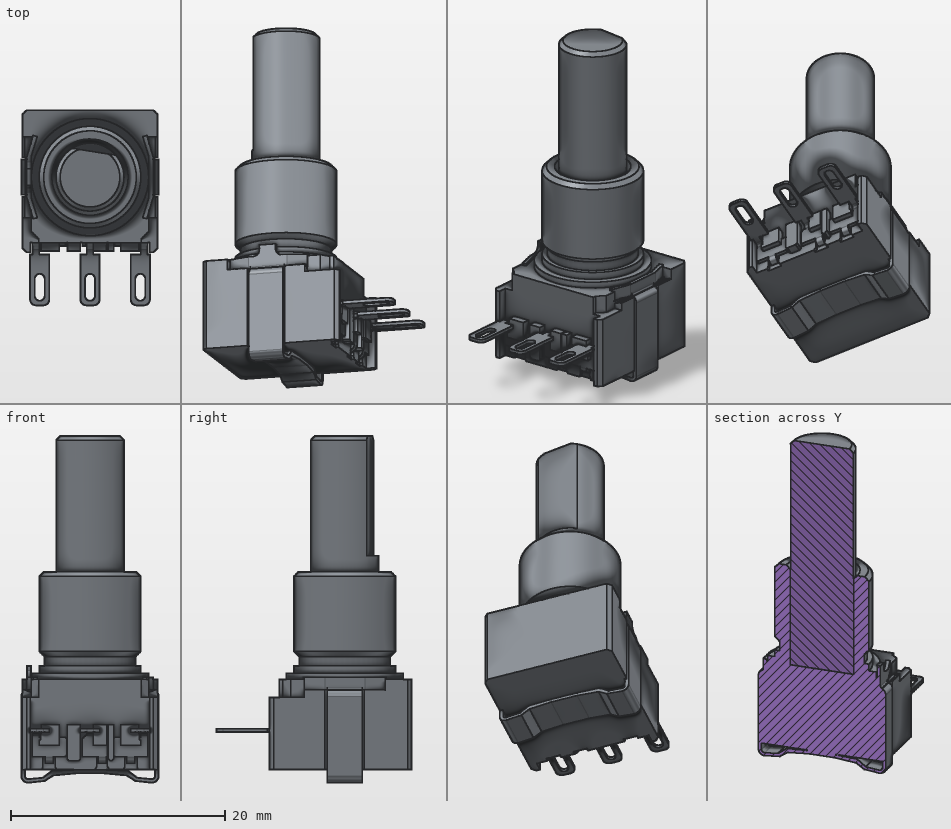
import cadquery as cq
import math


diag = math.sqrt(0.5)

shaft_radius = 3.17
shaft_top = 31.15
shaft_tip_chamfer = 0.4
shaft_flat_distance = 2.4
shaft_flat_base = 19.98
shaft_flat_tilt = -9.0

block_half_width = 6.3
block_back = 6.25
block_front = -6.12
block_top = 8.42
block_corner_chamfer = 0.4

wall_front = -7.03
wall_inner = 5.57
wall_top = 6.75

nose_half_width = 5.5
nose_corner_chamfer = 0.7
nose_corner_land = 0.35

recess_rim = 6.1
recess_fall = 0.23

flange_radius = 5.47
flange_top = 9.0
bushing_diameter = 9.5
bushing_radius = bushing_diameter / 2
collar_top = 9.68
bushing_top = 18.45
bushing_chamfer = 0.42
thread_base = 10.55
thread_chamfer = 0.5
neck_radius = bushing_radius - thread_chamfer
bore_chamfer = 0.4

strap_thickness = 0.35
strap_half_depth = 1.65
strap_half_width = 6.4
strap_bend_radius = 0.65
strap_drop = 1.23
strap_shoulder_base = 6.83
strap_shoulder_rise = 0.8
strap_shoulder_share = 0.7
strap_slot_half_depth = 1.85
strap_center_half_width = 1.3
slope_outer_top = (3.43, -0.55)
slope_outer_foot = (4.25, -1.07)
slope_inner_top = (3.53, -0.1)
slope_inner_foot = (4.4, -0.75)

end_plate_outer = 5.9
end_plate_thickness = 0.4
end_plate_half_depth = 1.88
end_plate_base = 7.45
end_plate_top = 8.6
wing_half_depth = 3.8
wing_lean = 0.58
wing_tip_skew = 0.1
tab_half_width = 0.78
tab_fillet = 0.65

terminal_thickness = 0.32
tag_top = 3.82
tag_width = 1.8
tag_tip = -11.98
tag_shoulder = -7.22
tag_offset = 4.7
neck_offset = 5.05
neck_width = 0.65
neck_bend_inner = 0.3
slot_width = 0.9
slot_back = -9.05
slot_front = -11.53
plate_bottom = 1.2
plate_top = 3.05
plate_corner = 0.15
outer_plate_edge = 5.4
outer_plate_inner = 2.17
middle_plate_left = -0.75
middle_plate_right = 1.62
middle_plate_corner = 0.35
neck_root = tag_top - terminal_thickness - neck_bend_inner
tag_tip_fillet = 0.58
leg_bend_radius = 0.6
foot_recess_depth = leg_bend_radius - terminal_thickness
foot_mouth_width = 1.35
foot_flare_height = 0.3
outer_foot_recess_width = 1.13
middle_foot_recess_width = 0.97
leg_width = 0.75
outer_foot_offset = 3.82
middle_foot_x = 1.13

boss_depth = 0.78
boss_top = 4.2
boss_bottom = 2.27
rib_bottom = 0.8
outer_boss_inner = 2.85
outer_boss_top_edge = 4.53
outer_boss_side = 4.6
outer_boss_foot = 4.73
outer_boss_step_top = 2.85
outer_boss_step_bottom = 2.72
middle_boss_left = 0.32
middle_boss_right = 1.55
wide_rib_left = -2.1
wide_rib_right = -0.9
wide_rib_chamfer = 0.15
narrow_rib_left = 1.68
narrow_rib_right = 2.25
narrow_rib_chamfer = 0.23


def box(x0, x1, y0, y1, z0, z1):
    return cq.Workplane("XY").box(x1 - x0, y1 - y0, z1 - z0, centered=False).translate((x0, y0, z0))


def mirrored_pair(shape):
    return shape.union(shape.mirror("YZ"))


def front_outline(points, depth):
    """Prism of an X-Z outline standing out from the front face of the block."""
    return cq.Workplane("XZ", origin=(0, block_front, 0)).polyline(points).close().extrude(depth)


def make_shaft():
    height = shaft_top - block_top
    body = cq.Workplane("XY").workplane(offset=block_top).circle(shaft_radius).extrude(height)
    body = body.faces(">Z").chamfer(shaft_tip_chamfer)
    cutter = box(-shaft_radius, shaft_radius, shaft_flat_distance, shaft_radius, shaft_flat_base, shaft_top)
    return body.cut(cutter.rotate((0, 0, 0), (0, 0, 1), shaft_flat_tilt))


def make_block():
    """Block with side walls, a narrowed nose, recesses for the strap ends and strap slots."""
    block = box(-block_half_width, block_half_width, wall_front, block_back, 0, block_top)
    block = block.edges("|Z").chamfer(block_corner_chamfer)
    block = block.cut(box(-wall_inner, wall_inner, wall_front, block_front, 0, block_top))
    block = block.cut(box(-block_half_width, block_half_width, wall_front, block_front, wall_top, block_top))
    side = cq.Workplane("XY").workplane(offset=wall_top).polyline([
        (block_half_width, -wing_half_depth),
        (nose_half_width, -wing_half_depth),
        (nose_half_width, block_front + nose_corner_land + nose_corner_chamfer),
        (nose_half_width - nose_corner_chamfer, block_front + nose_corner_land),
        (nose_half_width - nose_corner_chamfer, block_front),
        (block_half_width, block_front),
    ]).close().extrude(block_top - wall_top)
    block = block.cut(mirrored_pair(side))
    inner = end_plate_outer - end_plate_thickness
    recess = cq.Workplane("XY").workplane(offset=end_plate_base).polyline([
        (block_half_width, -wing_half_depth),
        (inner - wing_lean, -wing_half_depth),
        (inner, -end_plate_half_depth),
        (inner, end_plate_half_depth),
        (inner - wing_lean, wing_half_depth),
        (block_half_width, wing_half_depth),
    ]).close().extrude(block_top - end_plate_base)
    block = block.cut(mirrored_pair(recess))
    fall = cq.Workplane("XZ", origin=(0, wing_half_depth, 0)).polyline([
        (recess_rim, end_plate_base),
        (inner, end_plate_base),
        (inner, end_plate_base - recess_fall),
    ]).close().extrude(2 * wing_half_depth)
    block = block.cut(mirrored_pair(fall))
    slot = box(strap_half_width - strap_thickness, block_half_width,
               -strap_slot_half_depth, strap_slot_half_depth, 0, block_top)
    return block.cut(mirrored_pair(slot))


def make_bushing():
    """Turned flange, collar, neck and thread."""
    return cq.Workplane("XZ").polyline([
        (flange_radius, block_top),
        (flange_radius, flange_top),
        (bushing_radius, flange_top),
        (bushing_radius, collar_top),
        (neck_radius, collar_top),
        (neck_radius, thread_base),
        (bushing_radius, thread_base + thread_chamfer),
        (bushing_radius, bushing_top - bushing_chamfer),
        (bushing_radius - bushing_chamfer, bushing_top),
        (shaft_radius + bore_chamfer, bushing_top),
        (shaft_radius, bushing_top - bore_chamfer),
        (shaft_radius, block_top),
    ]).close().revolve(360, (0, 0, 0), (0, 1, 0))


def make_strap():
    """Right half of the bent strip, mirrored; the shoulders round over into the end plates."""
    bend = strap_bend_radius
    inner_bend = bend - strap_thickness
    corner_x = strap_half_width - bend
    corner_z = bend - strap_drop
    inner_x = strap_half_width - strap_thickness
    end_x = end_plate_outer
    shoulder = strap_half_width - end_x
    half = (
        cq.Workplane("XZ", origin=(0, strap_half_depth, 0))
        .moveTo(0, 0)
        .lineTo(0, -strap_thickness)
        .lineTo(strap_center_half_width, -strap_thickness)
        .lineTo(*slope_outer_top)
        .lineTo(*slope_outer_foot)
        .lineTo(corner_x, -strap_drop)
        .threePointArc((corner_x + bend * diag, corner_z - bend * diag), (strap_half_width, corner_z))
        .lineTo(strap_half_width, strap_shoulder_base)
        .tangentArcPoint((-strap_shoulder_share * shoulder, strap_shoulder_share * strap_shoulder_rise))
        .tangentArcPoint((end_x, strap_shoulder_base + strap_shoulder_rise), relative=False)
        .lineTo(end_x - end_plate_thickness, strap_shoulder_base + strap_shoulder_rise)
        .lineTo(end_x - end_plate_thickness, strap_shoulder_base)
        .lineTo(inner_x, strap_shoulder_base)
        .lineTo(inner_x, corner_z)
        .threePointArc((corner_x + inner_bend * diag, corner_z - inner_bend * diag),
                       (corner_x, corner_z - inner_bend))
        .lineTo(*slope_inner_foot)
        .lineTo(*slope_inner_top)
        .lineTo(strap_center_half_width, 0)
        .close()
        .extrude(2 * strap_half_depth)
    )
    return mirrored_pair(half)


def make_strap_ends():
    inner = end_plate_outer - end_plate_thickness
    plate = cq.Workplane("XY").workplane(offset=end_plate_base).polyline([
        (inner - wing_lean, -wing_half_depth),
        (end_plate_outer - wing_lean, -wing_half_depth - wing_tip_skew),
        (end_plate_outer, -end_plate_half_depth),
        (end_plate_outer, end_plate_half_depth),
        (end_plate_outer - wing_lean, wing_half_depth + wing_tip_skew),
        (inner - wing_lean, wing_half_depth),
        (inner, end_plate_half_depth),
        (inner, -end_plate_half_depth),
    ]).close().extrude(end_plate_top - end_plate_base)
    return mirrored_pair(plate)


def make_locating_tab():
    foot = tab_half_width + tab_fillet
    shift = tab_fillet * (1 - diag)
    bend_top = end_plate_top + tab_fillet
    return (
        cq.Workplane("YZ", origin=(-end_plate_outer, 0, 0))
        .moveTo(-foot, end_plate_top)
        .threePointArc((-tab_half_width - shift, end_plate_top + shift), (-tab_half_width, bend_top))
        .lineTo(-tab_half_width, collar_top)
        .lineTo(tab_half_width, collar_top)
        .lineTo(tab_half_width, bend_top)
        .threePointArc((tab_half_width + shift, end_plate_top + shift), (foot, end_plate_top))
        .close()
        .extrude(end_plate_thickness)
    )


def make_terminal(plate_outline, neck_x, tag_x, foot_x):
    """Contact plate on the front face with a soldering tag at the top and a foot at the bottom."""
    plate = front_outline(plate_outline, terminal_thickness)
    return plate.union(make_neck(neck_x)).union(make_tag(tag_x)).union(make_foot(foot_x))


def make_neck(neck_x):
    """Strip that rises from the contact plate and bends forward into the tag."""
    tag_bottom = tag_top - terminal_thickness
    plate_face = block_front - terminal_thickness
    bend_end = plate_face - neck_bend_inner
    outer = neck_bend_inner + terminal_thickness
    return (
        cq.Workplane("YZ", origin=(neck_x - neck_width / 2, 0, 0))
        .moveTo(block_front, plate_bottom)
        .lineTo(block_front, tag_top - outer)
        .threePointArc((bend_end + outer * diag, tag_top - outer + outer * diag), (bend_end, tag_top))
        .lineTo(tag_shoulder, tag_top)
        .lineTo(tag_shoulder, tag_bottom)
        .lineTo(bend_end, tag_bottom)
        .threePointArc((bend_end + neck_bend_inner * diag, tag_top - outer + neck_bend_inner * diag),
                       (plate_face, tag_top - outer))
        .lineTo(plate_face, plate_bottom)
        .close()
        .extrude(neck_width)
    )


def make_tag(tag_x):
    tag = box(tag_x - tag_width / 2, tag_x + tag_width / 2, tag_tip, tag_shoulder,
              tag_top - terminal_thickness, tag_top)
    tag = tag.edges("|Z and <Y").fillet(tag_tip_fillet)
    slot = (
        cq.Workplane("XY", origin=(tag_x, (slot_back + slot_front) / 2, tag_top))
        .slot2D(slot_back - slot_front, slot_width, 90)
        .extrude(-terminal_thickness)
    )
    return tag.cut(slot)


def make_foot(foot_x):
    """Leg that curls from the bottom of the contact plate back into the block."""
    left = foot_x - leg_width / 2
    face = block_front - terminal_thickness
    return (
        cq.Workplane("YZ", origin=(left, face + leg_bend_radius, plate_bottom))
        .circle(leg_bend_radius)
        .extrude(leg_width)
        .intersect(box(left, left + leg_width, face, face + leg_bend_radius, 0, plate_bottom))
    )


def make_foot_recess(foot_x, width):
    """Recess in the front face around a leg, open and flared at the underside."""
    outline = [
        (foot_x - foot_mouth_width / 2, 0),
        (foot_x + foot_mouth_width / 2, 0),
        (foot_x + width / 2, foot_flare_height),
        (foot_x + width / 2, plate_bottom),
        (foot_x - width / 2, plate_bottom),
        (foot_x - width / 2, foot_flare_height),
    ]
    return front_outline(outline, -foot_recess_depth)


def make_terminals():
    outer_plate = [
        (-outer_plate_edge, plate_bottom),
        (-outer_plate_inner - plate_corner, plate_bottom),
        (-outer_plate_inner, plate_bottom + plate_corner),
        (-outer_plate_inner, plate_top - plate_corner),
        (-outer_plate_inner - plate_corner, plate_top),
        (-neck_offset + neck_width / 2, plate_top),
        (-neck_offset + neck_width / 2, neck_root),
        (-outer_plate_edge, neck_root),
    ]
    middle_plate = [
        (middle_plate_left, plate_bottom),
        (middle_plate_right, plate_bottom),
        (middle_plate_right, neck_root),
        (middle_plate_left + middle_plate_corner, neck_root),
        (middle_plate_left, neck_root - middle_plate_corner),
    ]
    left = make_terminal(outer_plate, -neck_offset, -tag_offset, -outer_foot_offset)
    middle = make_terminal(middle_plate, 0, 0, middle_foot_x)
    return left.union(left.mirror("YZ")).union(middle)


def make_bosses():
    outer_boss = [
        (-outer_boss_inner, boss_bottom),
        (-outer_boss_inner, boss_top),
        (-outer_boss_top_edge, boss_top),
        (-outer_boss_side, outer_boss_step_top),
        (-outer_boss_foot, outer_boss_step_bottom),
        (-outer_boss_foot, boss_bottom),
    ]
    middle_boss = box(middle_boss_left, middle_boss_right,
                      block_front - boss_depth, block_front, boss_bottom, boss_top)
    bosses = mirrored_pair(front_outline(outer_boss, boss_depth)).union(middle_boss)
    for left, right, chamfer in [
        (wide_rib_left, wide_rib_right, wide_rib_chamfer),
        (narrow_rib_left, narrow_rib_right, narrow_rib_chamfer),
    ]:
        rib = box(left, right, block_front - boss_depth, block_front, rib_bottom, boss_top)
        bosses = bosses.union(rib.edges("|Y and <Z").chamfer(chamfer))
    return bosses


shaft = make_shaft()
housing = make_block()
for foot_x, width in [
    (-outer_foot_offset, outer_foot_recess_width),
    (middle_foot_x, middle_foot_recess_width),
    (outer_foot_offset, outer_foot_recess_width),
]:
    housing = housing.cut(make_foot_recess(foot_x, width))
for feature in [make_bushing(), make_strap(), make_strap_ends(), make_locating_tab(),
                make_terminals(), make_bosses()]:
    housing = housing.union(feature)
result = cq.Compound.makeCompound([housing.val(), shaft.val()])